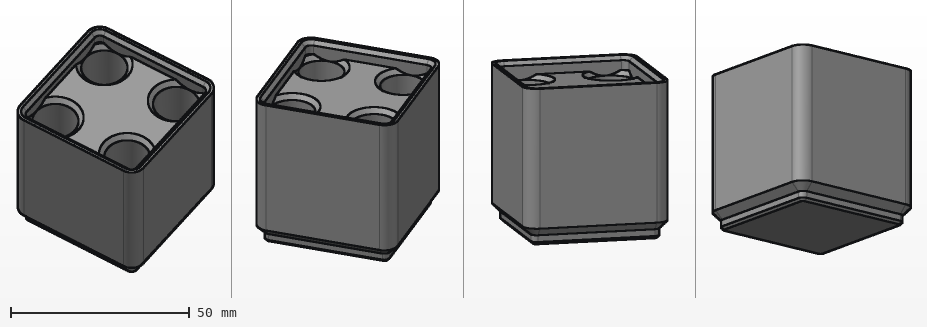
import cadquery as cq

side = 41.8
height = 45.0
corner_radius = 4.0

foot_inset = 2.35
foot_chamfer = 0.8
foot_top = 2.75
body_bottom = foot_top + foot_inset

rim_width = 1.0
tray_inset = 2.25
lip_depth = tray_inset - rim_width
tray_depth = 4.0
tray_floor = height - tray_depth

well_diameter = 12.95
well_offset = side / 2 - tray_inset - well_diameter / 2
well_floor = 6.75
countersink_width = 1.45
countersink_depth = countersink_width


def rounded_square(inset):
    """Outline of the block, moved inwards by inset."""
    width = side - 2 * inset
    return cq.Sketch().rect(width, width).vertices().fillet(corner_radius - inset)


def straight_section(inset, bottom, top):
    """Upright block between two heights."""
    plane = cq.Workplane("XY").workplane(offset=bottom)
    return plane.placeSketch(rounded_square(inset)).extrude(top - bottom)


def tapered_section(bottom_inset, bottom, top_inset, top):
    """Block whose outline changes evenly between two heights."""
    lower = rounded_square(bottom_inset)
    upper = rounded_square(top_inset).moved(cq.Location(cq.Vector(0, 0, top - bottom)))
    plane = cq.Workplane("XY").workplane(offset=bottom)
    return plane.placeSketch(lower, upper).loft(ruled=True)


def make_block():
    foot_edge = tapered_section(foot_inset + foot_chamfer, 0, foot_inset, foot_chamfer)
    foot = straight_section(foot_inset, foot_chamfer, foot_top)
    flare = tapered_section(foot_inset, foot_top, 0, body_bottom)
    body = straight_section(0, body_bottom, height)
    return foot_edge.union(foot).union(flare).union(body)


def make_tray():
    lip_bottom = height - lip_depth
    recess = straight_section(tray_inset, tray_floor, lip_bottom)
    lip = tapered_section(tray_inset, lip_bottom, rim_width, height)
    return recess.union(lip)


def make_well():
    """Straight round well centred on the Z axis, up to the tray floor."""
    depth = tray_floor - well_floor
    return cq.Workplane("XY").workplane(offset=well_floor).circle(well_diameter / 2).extrude(depth)


def make_countersink():
    """Cone centred on the Z axis that widens the mouth of a well."""
    small_radius = well_diameter / 2
    large_radius = small_radius + countersink_width
    bottom = cq.Vector(0, 0, tray_floor - countersink_depth)
    cone = cq.Solid.makeCone(small_radius, large_radius, countersink_depth, bottom)
    return cq.Workplane(cone)


inside_walls = straight_section(tray_inset, well_floor, tray_floor)
well = make_well()
countersink = make_countersink()

result = make_block().cut(make_tray())
for x in (-well_offset, well_offset):
    for y in (-well_offset, well_offset):
        result = result.cut(well.translate((x, y, 0)))
        result = result.cut(countersink.translate((x, y, 0)).intersect(inside_walls))